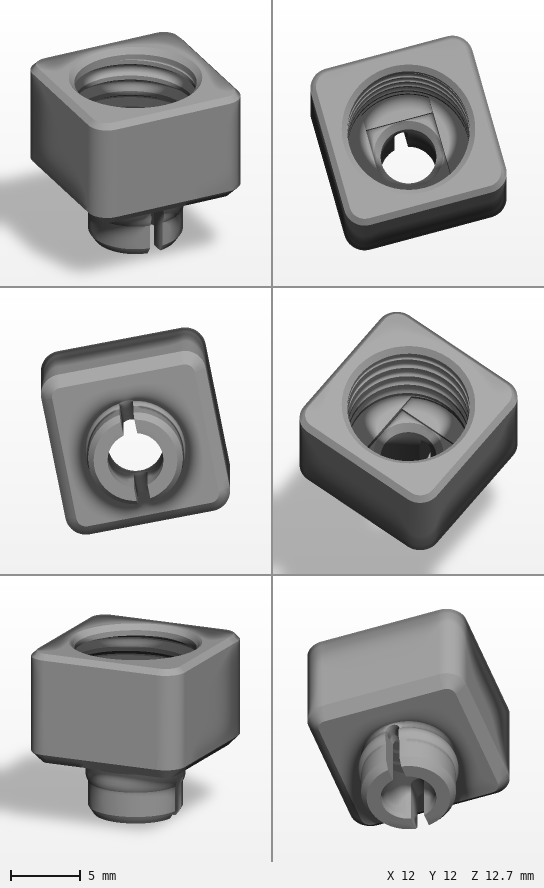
import cadquery as cq
import math

head_width = 12.0
head_height = 8.25
corner_radius = 1.5
top_chamfer = 0.4
bottom_chamfer = 0.8

total_height = 12.7
spigot_radius = 6.8 / 2
spigot_length = total_height - head_height
tip_chamfer_height = 0.6
tip_chamfer_width = 0.4
bead_radius = spigot_radius + 0.2
bead_height = 1.35
bead_offset = 0.68
slot_width = 1.0
slot_clearance = 0.2
slot_depth = spigot_length - slot_clearance

bore_radius = 8.78 / 2
bore_depth = 6.75
bore_chamfer = 0.4
thread_radius = 10.17 / 2
thread_pitch = 1.25
thread_flank_angle = 30.0
thread_crest_height = 0.33
thread_start_depth = 0.8
thread_phase = 45.0
groove_edge_depth = 1.24

step_width = 5.0
step_depth = 0.25
hole_radius = 4.0 / 2
countersink_depth = 0.5

head_bottom = spigot_length
floor_height = total_height - bore_depth
thread_top = total_height - thread_start_depth
overlap = 0.02


def make_head():
    block = (
        cq.Workplane("XY")
        .workplane(offset=head_bottom)
        .rect(head_width, head_width)
        .extrude(head_height)
        .edges("|Z")
        .fillet(corner_radius)
    )
    return block.faces(">Z").chamfer(top_chamfer).faces("<Z").chamfer(bottom_chamfer)


def make_spigot():
    bead_top = head_bottom - bead_offset
    bead_bottom = bead_top - bead_height
    bead_middle = (bead_top + bead_bottom) / 2
    return (
        cq.Workplane("XZ")
        .moveTo(0, 0)
        .lineTo(spigot_radius - tip_chamfer_width, 0)
        .lineTo(spigot_radius, tip_chamfer_height)
        .lineTo(spigot_radius, bead_bottom)
        .threePointArc((bead_radius, bead_middle), (spigot_radius, bead_top))
        .lineTo(spigot_radius, head_bottom)
        .lineTo(0, head_bottom)
        .close()
        .revolve(360, (0, 0, 0), (0, 1, 0))
    )


def make_bore():
    mouth_radius = bore_radius + bore_chamfer
    return (
        cq.Workplane("XZ")
        .moveTo(0, floor_height)
        .lineTo(bore_radius, floor_height)
        .lineTo(bore_radius, total_height - bore_chamfer)
        .lineTo(mouth_radius, total_height)
        .lineTo(0, total_height)
        .close()
        .revolve(360, (0, 0, 0), (0, 1, 0))
    )


def make_thread_groove():
    """Right-handed helical groove, trimmed flat below the mouth and at the bore floor."""
    flank_slope = math.tan(math.radians(thread_flank_angle))
    flank_height = (thread_radius - bore_radius) * flank_slope
    inner_rise = overlap * flank_slope
    groove_height = thread_pitch - thread_crest_height
    turns = math.ceil(bore_depth / thread_pitch) + 1

    lower_edge = total_height - groove_edge_depth - (turns - 1) * thread_pitch
    upper_edge = lower_edge + groove_height
    inner_radius = bore_radius - overlap
    groove_middle = (lower_edge + upper_edge) / 2

    helix = cq.Wire.makeHelix(
        thread_pitch, turns * thread_pitch, bore_radius, cq.Vector(0, 0, groove_middle)
    )
    groove = (
        cq.Workplane("XZ")
        .moveTo(inner_radius, lower_edge - inner_rise)
        .lineTo(thread_radius, lower_edge + flank_height)
        .lineTo(thread_radius, upper_edge - flank_height)
        .lineTo(inner_radius, upper_edge + inner_rise)
        .close()
        .sweep(cq.Workplane(helix), isFrenet=True)
        .rotate((0, 0, 0), (0, 0, 1), thread_phase)
    )
    threaded_zone = (
        cq.Workplane("XY")
        .workplane(offset=floor_height)
        .circle(head_width / 2)
        .extrude(thread_top - floor_height)
    )
    return groove.intersect(threaded_zone)


def make_floor_steps():
    """A channel across the bore, a square pocket in it, and a countersunk through hole."""
    channel = (
        cq.Workplane("XY")
        .workplane(offset=floor_height)
        .circle(bore_radius)
        .extrude(-step_depth)
        .intersect(cq.Workplane("XY").box(head_width, step_width, 2 * total_height))
    )
    square = (
        cq.Workplane("XY")
        .workplane(offset=floor_height)
        .rect(step_width, step_width)
        .extrude(-2 * step_depth)
    )
    countersink_top = floor_height - 2 * step_depth
    hole = (
        cq.Workplane("XZ")
        .lineTo(hole_radius, 0)
        .lineTo(hole_radius, countersink_top - countersink_depth)
        .lineTo(step_width / 2, countersink_top)
        .lineTo(0, countersink_top)
        .close()
        .revolve(360, (0, 0, 0), (0, 1, 0))
    )
    return channel.union(square).union(hole)


def make_slot():
    """Round-ended slot along X that splits the spigot into two springy halves."""
    half_width = slot_width / 2
    return (
        cq.Workplane("YZ")
        .moveTo(-half_width, 0)
        .lineTo(half_width, 0)
        .lineTo(half_width, slot_depth - half_width)
        .threePointArc((0, slot_depth), (-half_width, slot_depth - half_width))
        .close()
        .extrude(head_width / 2, both=True)
    )


body = make_head().union(make_spigot())
body = body.cut(make_bore()).cut(make_floor_steps()).cut(make_slot())
result = body.cut(make_thread_groove())